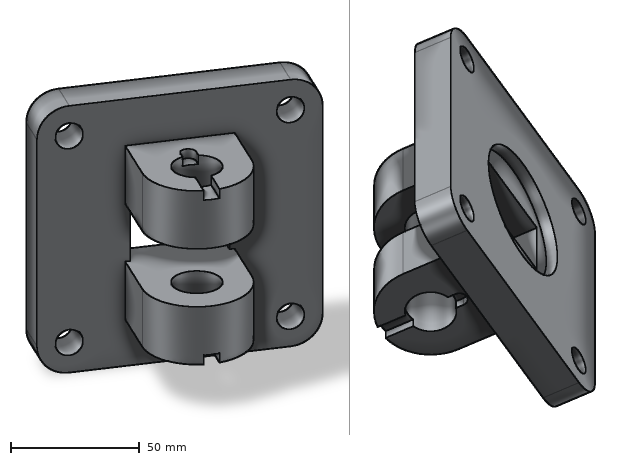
import cadquery as cq

flange_side = 115.0
flange_thickness = 16.0
corner_radius = 13.0
bolt_hole_diameter = 11.0
bolt_spacing = flange_side - 2 * corner_radius

recess_diameter = 55.0
recess_depth = 5.0
window_width = 39.9

overall_depth = 63.0
lug_width = 44.0
lug_thickness = 25.0
lug_gap = 25.0
lug_radius = lug_width / 2
pin_hole_diameter = 20.0
pin_x = overall_depth - lug_radius

keyway_width = 6.3
keyway_depth = 4.0
keyway_reach = 16.0

lug_inner_z = lug_gap / 2
lug_outer_z = lug_inner_z + lug_thickness


def make_flange():
    plate = (
        cq.Workplane("YZ")
        .rect(flange_side, flange_side)
        .extrude(flange_thickness)
        .edges("|X")
        .fillet(corner_radius)
    )
    bolt_holes = (
        cq.Workplane("YZ")
        .rect(bolt_spacing, bolt_spacing, forConstruction=True)
        .vertices()
        .circle(bolt_hole_diameter / 2)
        .extrude(flange_thickness)
    )
    recess = cq.Workplane("YZ").circle(recess_diameter / 2).extrude(recess_depth)
    window = cq.Workplane("YZ").rect(window_width, lug_gap).extrude(flange_thickness)
    return plate.cut(bolt_holes).cut(recess).cut(window)


def make_keyway():
    end_radius = keyway_width / 2
    end_center_x = pin_x - keyway_reach + end_radius
    floor = cq.Workplane("XY", origin=(end_center_x, 0, lug_outer_z - keyway_depth))
    channel = floor.rect(overall_depth, keyway_width).extrude(keyway_depth)
    channel = channel.translate((overall_depth / 2, 0, 0))
    return channel.union(floor.circle(end_radius).extrude(keyway_depth))


def make_upper_lug():
    lug = (
        cq.Workplane("XY", origin=(0, 0, lug_inner_z))
        .moveTo(flange_thickness, -lug_radius)
        .lineTo(pin_x, -lug_radius)
        .threePointArc((overall_depth, 0), (pin_x, lug_radius))
        .lineTo(flange_thickness, lug_radius)
        .close()
        .extrude(lug_thickness)
    )
    pin_hole = (
        cq.Workplane("XY", origin=(pin_x, 0, lug_inner_z))
        .circle(pin_hole_diameter / 2)
        .extrude(lug_thickness)
    )
    return lug.cut(pin_hole).cut(make_keyway())


upper_lug = make_upper_lug()
lower_lug = upper_lug.mirror("XY")
result = make_flange().union(upper_lug).union(lower_lug)